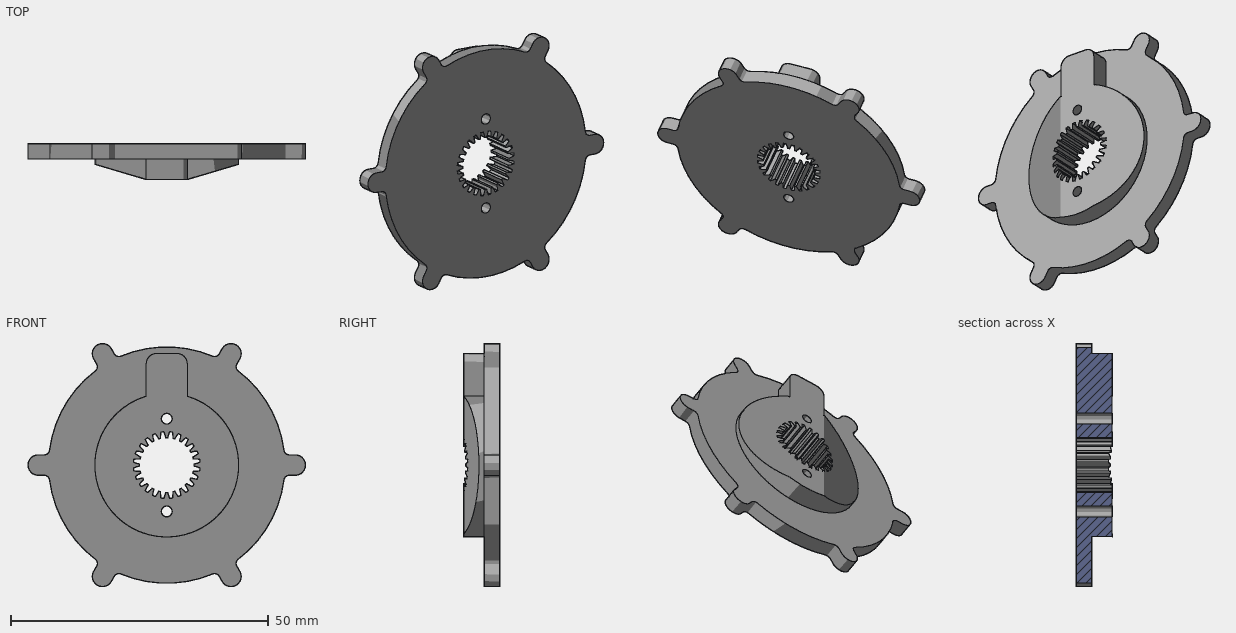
import cadquery as cq
import math

lobe_count = 6
lobe_tip_radius = 27.0
lobe_radius = 2.0
disc_radius = 23.0
lobe_neck_fillet = 1.0
plate_thickness = 3.0

boss_radius = 14.0
boss_height = 4.0
boss_rim_height = 1.0
ridge_half_width = 4.0
total_depth = plate_thickness + boss_height

key_top = 21.7
key_corner_radius = 2.0

tooth_count = 24
tooth_tip_radius = 5.3
tooth_root_radius = 6.5
groove_mouth_width = 0.95
groove_middle_width = 0.8
groove_bottom_width = 0.55
groove_overlap = 0.25

pin_hole_radius = 1.0
pin_hole_offset = 9.0


def front_plane(y=0.0):
    """Sketch plane facing -Y: local x is X, local y is Z."""
    return cq.Workplane("XZ", origin=(0, y, 0))


def make_plate():
    """Disc with radial round-ended lobes, from the front face at y = 0 back to +Y."""
    plate = front_plane().circle(disc_radius).extrude(-plate_thickness)
    lobe_center = lobe_tip_radius - lobe_radius
    lobe = (
        front_plane()
        .center(lobe_center / 2, 0)
        .slot2D(lobe_tip_radius + lobe_radius, 2 * lobe_radius)
        .extrude(-plate_thickness)
    )
    for i in range(lobe_count):
        plate = plate.union(lobe.rotate((0, 0, 0), (0, 1, 0), i * 360 / lobe_count))

    neck_x = math.sqrt(disc_radius**2 - lobe_radius**2)
    neck_angle = math.atan2(lobe_radius, neck_x)
    for i in range(lobe_count):
        for side in (-1, 1):
            angle = i * 2 * math.pi / lobe_count + side * neck_angle
            point = (disc_radius * math.cos(angle), plate_thickness / 2, disc_radius * math.sin(angle))
            plate = plate.edges(cq.selectors.NearestToPointSelector(point)).fillet(lobe_neck_fillet)
    return plate


def make_boss():
    """Round boss whose front slopes down from the ridge to the left and right rims."""
    roof = (
        cq.Workplane("XY", origin=(0, 0, -boss_radius))
        .polyline([
            (-boss_radius, 0),
            (-boss_radius, -boss_rim_height),
            (-ridge_half_width, -boss_height),
            (ridge_half_width, -boss_height),
            (boss_radius, -boss_rim_height),
            (boss_radius, 0),
        ])
        .close()
        .extrude(2 * boss_radius)
    )
    return front_plane().circle(boss_radius).extrude(boss_height).intersect(roof)


def make_key():
    """Block as wide as the ridge, from the center up to its rounded top corners."""
    return (
        front_plane()
        .center(0, key_top / 2)
        .rect(2 * ridge_half_width, key_top)
        .extrude(boss_height)
        .edges("|Y and >Z")
        .fillet(key_corner_radius)
    )


def make_bore():
    """Cutter for the bore: a round core plus tapered grooves between the teeth."""
    bore = front_plane(plate_thickness).circle(tooth_tip_radius).extrude(total_depth)
    middle_radius = (tooth_tip_radius + tooth_root_radius) / 2
    start_radius = tooth_tip_radius - groove_overlap
    groove = (
        front_plane(plate_thickness)
        .moveTo(-groove_mouth_width / 2, start_radius)
        .lineTo(-groove_mouth_width / 2, tooth_tip_radius)
        .lineTo(-groove_middle_width / 2, middle_radius)
        .lineTo(-groove_bottom_width / 2, tooth_root_radius)
        .lineTo(groove_bottom_width / 2, tooth_root_radius)
        .lineTo(groove_middle_width / 2, middle_radius)
        .lineTo(groove_mouth_width / 2, tooth_tip_radius)
        .lineTo(groove_mouth_width / 2, start_radius)
        .close()
        .extrude(total_depth)
    )
    for i in range(tooth_count):
        angle = (i + 0.5) * 360 / tooth_count
        bore = bore.union(groove.rotate((0, 0, 0), (0, 1, 0), angle))
    return bore


def make_pin_holes():
    """Cutter for the two through holes on the ridge."""
    return (
        front_plane(plate_thickness)
        .pushPoints([(0, -pin_hole_offset), (0, pin_hole_offset)])
        .circle(pin_hole_radius)
        .extrude(total_depth)
    )


body = make_plate().union(make_boss()).union(make_key())
result = body.cut(make_bore()).cut(make_pin_holes())